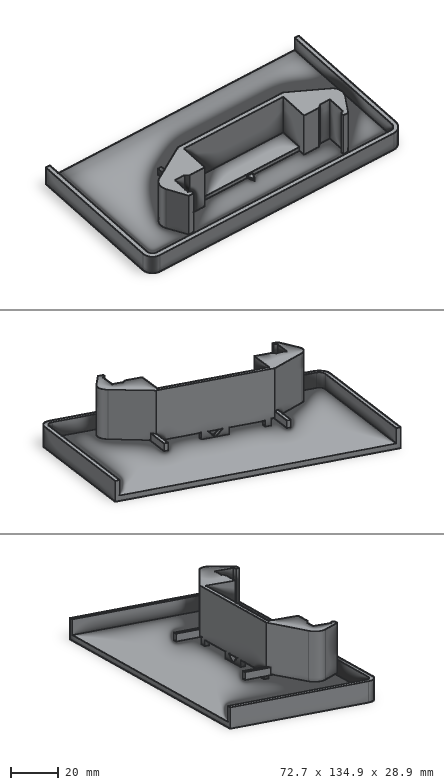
import cadquery as cq
import math

tray_length = 72.7
tray_width = 134.9
tray_height = 9.6
floor_thickness = 2.5
rim_thickness = 2.2
outer_corner_radius = 5.1
inner_corner_radius = outer_corner_radius - rim_thickness

holder_top = 28.9
top_drop = 0.4
body_bottom = 6.1
opening_top = 5.7

wall_x = 40.6
wall_thickness = 2.2
wall_half_width = 28.0
arm_angle = 60.0
arm_tip_radius = 5.1
hook_tip_x = 67.0
hook_tip_outer_y = 42.5
hook_tip_inner_y = 40.0
hook_inner_y = 41.3
hook_lip_x = 65.5
hook_lip_run = 0.7
jaw_x = 57.2
jaw_recess_x = 55.9
jaw_recess_start_y = 34.4
jaw_recess_end_y = 36.2
pocket_half_width = 26.5

shelf_x = 54.1
shelf_thickness = 2.2
pointer_length = 3.5
pointer_thickness = shelf_thickness / 2
pointer_half_width = 1.6

foot_inner_y = 23.5
foot_bottom = 3.0
center_foot_half_width = 6.6
notch_half_width = 3.4
notch_depth = opening_top - floor_thickness
prong_x = 29.1
prong_width = 1.9
prong_top = 9.2
prong_bottom = opening_top


def block(x_range, y_range, z_range):
    """Axis-aligned box between the given limits."""
    (x0, x1), (y0, y1), (z0, z1) = x_range, y_range, z_range
    return cq.Workplane("XY").box(x1 - x0, y1 - y0, z1 - z0, centered=False).translate((x0, y0, z0))


def make_tray():
    half_width = tray_width / 2
    inner_half_width = half_width - rim_thickness
    tray = block((0, tray_length), (-half_width, half_width), (0, tray_height))
    tray = tray.edges("|Z and >X").fillet(outer_corner_radius)
    cavity = block(
        (0, tray_length - rim_thickness),
        (-inner_half_width, inner_half_width),
        (floor_thickness, tray_height),
    )
    cavity = cavity.edges("|Z and >X").fillet(inner_corner_radius)
    return tray.cut(cavity)


def make_arm():
    """Slanted arm with its hook and jaw, on the +Y side."""
    slope = math.tan(math.radians(arm_angle))
    slope_sum = slope + 1 / slope
    corner_x = (hook_tip_outer_y - wall_half_width + slope * wall_x + hook_tip_x / slope) / slope_sum
    corner_y = wall_half_width + slope * (corner_x - wall_x)
    outline = [
        (wall_x, pocket_half_width),
        (wall_x, wall_half_width),
        (corner_x, corner_y),
        (hook_tip_x, hook_tip_outer_y),
        (hook_tip_x, hook_tip_inner_y),
        (hook_lip_x, hook_tip_inner_y),
        (hook_lip_x - hook_lip_run, hook_inner_y),
        (jaw_recess_x, hook_inner_y),
        (jaw_recess_x, jaw_recess_end_y),
        (jaw_x, jaw_recess_start_y),
        (jaw_x, pocket_half_width),
    ]
    arm = cq.Workplane("XY").workplane(offset=body_bottom).polyline(outline).close()
    arm = arm.extrude(holder_top - body_bottom)
    corner = (corner_x, corner_y, (body_bottom + holder_top) / 2)
    return arm.edges(cq.selectors.NearestToPointSelector(corner)).fillet(arm_tip_radius)


def make_back_wall():
    """Back wall with two outer feet and a notched center foot."""
    outline = [
        (-pocket_half_width, holder_top),
        (-pocket_half_width, foot_bottom),
        (-foot_inner_y, foot_bottom),
        (-foot_inner_y, opening_top),
        (-center_foot_half_width, opening_top),
        (-center_foot_half_width, floor_thickness),
        (center_foot_half_width, floor_thickness),
        (center_foot_half_width, opening_top),
        (foot_inner_y, opening_top),
        (foot_inner_y, foot_bottom),
        (pocket_half_width, foot_bottom),
        (pocket_half_width, holder_top),
    ]
    notch = [
        (-notch_half_width, opening_top),
        (0, opening_top - notch_depth),
        (notch_half_width, opening_top),
    ]
    plane = cq.Workplane("YZ").workplane(offset=wall_x)
    wall = plane.polyline(outline).close().extrude(wall_thickness)
    return wall.cut(plane.polyline(notch).close().extrude(wall_thickness))


def make_shelf():
    """Shelf behind the wall, with a thinner pointer at the middle of its far edge."""
    shelf = block(
        (wall_x, shelf_x),
        (-pocket_half_width, pocket_half_width),
        (body_bottom, body_bottom + shelf_thickness),
    )
    outline = [
        (shelf_x, -pointer_half_width),
        (shelf_x + pointer_length, 0),
        (shelf_x, pointer_half_width),
    ]
    pointer = cq.Workplane("XY").workplane(offset=body_bottom).polyline(outline).close()
    return shelf.union(pointer.extrude(pointer_thickness))


def make_prong():
    """Square prong reaching back from the +Y end of the wall."""
    return block(
        (prong_x, wall_x + wall_thickness),
        (wall_half_width, wall_half_width + prong_width),
        (prong_bottom, prong_top),
    )


def make_top_slope():
    """Wedge removed from the top so that it falls gently towards the hooks."""
    profile = [
        (wall_x, holder_top),
        (hook_tip_x, holder_top),
        (hook_tip_x, holder_top - top_drop),
    ]
    return cq.Workplane("XZ").polyline(profile).close().extrude(tray_width / 2, both=True)


def make_holder():
    side = make_arm().union(make_prong())
    holder = make_back_wall().union(make_shelf())
    holder = holder.union(side).union(side.mirror("XZ"))
    return holder.cut(make_top_slope())


tray = make_tray()
holder = make_holder()

result = cq.Compound.makeCompound([tray.solids().val(), holder.solids().val()])